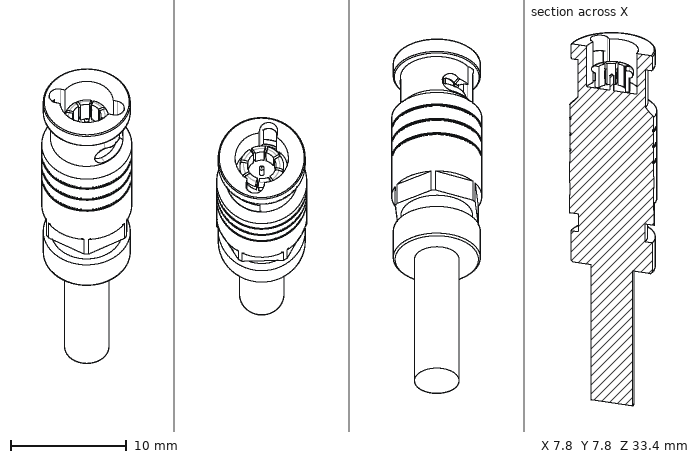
import cadquery as cq

collar_bottom = 12.75
collar_top = 15.73
hex_bottom = 17.37
body_bottom = 19.37
shoulder_bottom = 27.62
shoulder_top = 28.42
rim_bottom = 31.93
rim_top = 33.4

cable_radius = 1.95
collar_radius = 3.77
collar_chamfer = 0.17
waist_radius = 3.1
body_radius = 3.9
neck_radius = 3.15
rim_radius = 3.77
rim_chamfer = 0.1

hex_across_flats = 6.95

groove_width = 0.17
groove_depth = 0.1
groove_pitch = 1.5
groove_count = 3
top_groove_height = 26.32

socket_radius = 2.3
socket_floor = 29.55
contact_top = 31.55
contact_radius = 1.57
contact_bore_radius = 1.25
contact_bead_radius = 0.35
finger_count = 8
finger_gap = 0.2
pin_radius = 0.2
pin_tip_length = 0.17
pin_top = 31.05

keyway_count = 2
keyway_angle = 225
keyway_width = 1.57
keyway_reach = 3.35
core_radius = 2.57
track_floor = 28.52
track_height = 1.55
track_ramp_end = -0.75
track_end = -1.95
seat_radius = 0.9


def cylinder(radius, bottom, top):
    return cq.Workplane("XY").workplane(offset=bottom).circle(radius).extrude(top - bottom)


def turned_body():
    profile = [
        (0, 0),
        (cable_radius, 0),
        (cable_radius, collar_bottom),
        (collar_radius - collar_chamfer, collar_bottom),
        (collar_radius, collar_bottom + collar_chamfer),
        (collar_radius, collar_top),
        (waist_radius, collar_top),
        (waist_radius, hex_bottom),
        (body_radius, hex_bottom),
        (body_radius, shoulder_bottom),
        (neck_radius, shoulder_top),
        (neck_radius, rim_bottom),
        (rim_radius - rim_chamfer, rim_bottom),
        (rim_radius, rim_bottom + rim_chamfer),
        (rim_radius, rim_top - rim_chamfer),
        (rim_radius - rim_chamfer, rim_top),
        (0, rim_top),
    ]
    return cq.Workplane("XZ").polyline(profile).close().revolve(360, (0, 0), (0, 1))


def wrench_waste():
    """Material to remove outside the hexagon, below the round body."""
    hexagon = (
        cq.Workplane("XY")
        .workplane(offset=hex_bottom)
        .polygon(6, hex_across_flats, circumscribed=True)
        .extrude(body_bottom - hex_bottom)
    )
    return cylinder(2 * body_radius, hex_bottom, body_bottom).cut(hexagon)


def grip_groove(height):
    bottom = height - groove_width / 2
    top = height + groove_width / 2
    outer = cylinder(body_radius + groove_depth, bottom, top)
    return outer.cut(cylinder(body_radius - groove_depth, bottom, top))


def radial_slot(length, width, bottom, top):
    """Straight slot from the axis toward +X."""
    return (
        cq.Workplane("XY")
        .workplane(offset=bottom)
        .center(length / 2, 0)
        .rect(length, width)
        .extrude(top - bottom)
    )


def keyway():
    """Round-ended slot from the socket: blind in the wide rim, open through the thinner neck."""
    end_radius = keyway_width / 2
    end_center = keyway_reach - end_radius
    slot = radial_slot(end_center, keyway_width, track_floor, rim_top)
    round_end = cylinder(end_radius, track_floor, rim_top).translate((end_center, 0, 0))
    return slot.union(round_end).rotate((0, 0, 0), (0, 0, 1), keyway_angle)


def side_track():
    """Track through the neck wall, from the keyway to the round seat on the -X side."""
    seat_height = track_floor + seat_radius
    track_top = track_floor + track_height
    seat = cq.Workplane("YZ").center(0, seat_height).circle(seat_radius).extrude(-body_radius)
    channel_outline = [
        (0, track_floor),
        (0, seat_height + seat_radius),
        (track_ramp_end, track_top),
        (track_end, track_top),
        (track_end, track_floor),
    ]
    channel = cq.Workplane("YZ").polyline(channel_outline).close().extrude(-body_radius)
    return seat.union(channel)


def contact_ring():
    """Springy ring with a round bead at its mouth, split into fingers."""
    bead_bottom = contact_top - 2 * contact_bead_radius
    ring = (
        cq.Workplane("XZ")
        .moveTo(contact_bore_radius, socket_floor)
        .lineTo(contact_radius, socket_floor)
        .lineTo(contact_radius, bead_bottom)
        .threePointArc(
            (contact_radius + contact_bead_radius, bead_bottom + contact_bead_radius),
            (contact_radius, contact_top),
        )
        .lineTo(contact_bore_radius, contact_top)
        .close()
        .revolve(360, (0, 0), (0, 1))
    )
    for finger in range(finger_count):
        gap = radial_slot(socket_radius, finger_gap, socket_floor, contact_top)
        ring = ring.cut(gap.rotate((0, 0, 0), (0, 0, 1), finger * 360 / finger_count))
    return ring


def contact_pin():
    return cylinder(pin_radius, socket_floor, pin_top).faces(">Z").chamfer(pin_tip_length)


result = turned_body().cut(wrench_waste())

for groove in range(groove_count):
    result = result.cut(grip_groove(top_groove_height - groove * groove_pitch))

result = result.cut(cylinder(socket_radius, socket_floor, rim_top))
core = cylinder(core_radius, track_floor, socket_floor)
bayonet_opening = keyway().union(side_track()).cut(core)
for opening in range(keyway_count):
    result = result.cut(bayonet_opening.rotate((0, 0, 0), (0, 0, 1), opening * 360 / keyway_count))

result = result.union(contact_ring()).union(contact_pin())